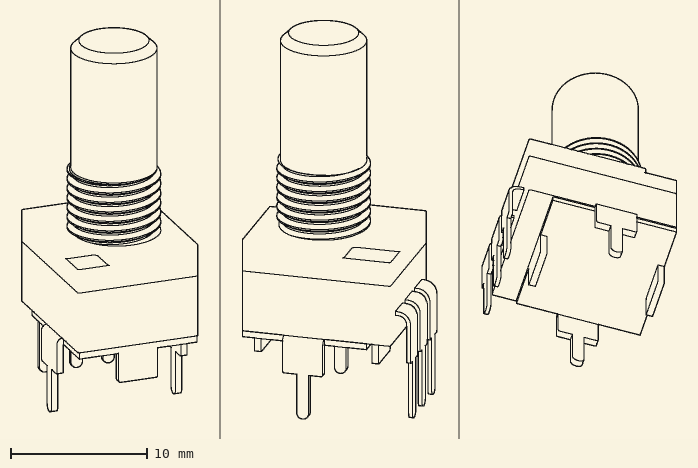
import cadquery as cq
import math


frame_bottom = 5.79
frame_thickness = 0.5
split_height = 11.0
cover_top = 13.5
bushing_top = 18.5
shaft_top = 28.5
body_bottom = frame_bottom + frame_thickness

housing_left = -6.5
housing_right = 4.85
housing_depth = 9.5
edge_fillet = 0.1

step_depth = 0.65
step_y = 2.37
left_step_x = -2.94
right_step_x = 2.48
step_fillet = 0.37

shaft_diameter = 6.35
shaft_chamfer = 0.6

thread_crest_diameter = 6.9
thread_root_diameter = 6.05
thread_pitch = 0.75
crest_width = 0.1
flank_half_angle = 30.0
helix_start = 13.325
thread_overlap = 0.09

pin_width = 0.9
shoulder_round = 0.15

terminal_count = 3
terminal_spacing = 2.5
terminal_width = 1.85
terminal_thickness = 0.3
terminal_top = 8.55
terminal_shoulder = 4.55
terminal_bend_radius = 0.97
terminal_reach = 7.67

frame_length = 9.5
tab_width = 3.08
tab_shoulder = 3.48
tab_reach = 5.145
tab_bend_radius = 0.4
frame_half_depth = tab_reach - frame_thickness
frame_center_x = housing_right - frame_length / 2


def housing_block(bottom, top):
    """Rectangular block with the housing footprint."""
    return (
        cq.Workplane("XY", origin=((housing_left + housing_right) / 2, 0, bottom))
        .rect(housing_right - housing_left, housing_depth)
        .extrude(top - bottom)
    )


def corner_step(inner, outer):
    """Box removed from a corner of the cover, between the inner and outer (x, y) corners."""
    center_x = (inner[0] + outer[0]) / 2
    center_y = (inner[1] + outer[1]) / 2
    return (
        cq.Workplane("XY", origin=(center_x, center_y, cover_top - step_depth))
        .rect(abs(outer[0] - inner[0]), abs(outer[1] - inner[1]))
        .extrude(step_depth)
    )


def make_body():
    return housing_block(body_bottom, split_height).edges("|Z").fillet(edge_fillet)


def make_cover():
    """Upper block with two diagonally opposite stepped corners and rounded edges."""
    half_depth = housing_depth / 2
    inner_corners = [(left_step_x, step_y), (right_step_x, -step_y)]
    outer_corners = [(housing_left, half_depth), (housing_right, -half_depth)]

    def is_inner_edge(edge):
        center = edge.Center()
        inside_x = housing_left + step_fillet < center.x < housing_right - step_fillet
        inside_y = abs(center.y) < half_depth - step_fillet
        return inside_x and inside_y

    cover = housing_block(split_height, cover_top)
    for inner, outer in zip(inner_corners, outer_corners):
        cover = cover.cut(corner_step(inner, outer))
    cover = cover.edges("|Z").filter(lambda edge: not is_inner_edge(edge)).fillet(edge_fillet)
    cover = cover.edges("|Z").filter(is_inner_edge).fillet(step_fillet)
    return cover.faces(">Z").edges().fillet(edge_fillet)


def make_shaft():
    return (
        cq.Workplane("XY", origin=(0, 0, bushing_top))
        .circle(shaft_diameter / 2)
        .extrude(shaft_top - bushing_top)
        .faces(">Z")
        .chamfer(shaft_chamfer)
    )


def make_bushing():
    """Cylinder with a right-handed thread whose ends are cut flat."""
    length = bushing_top - cover_top
    crest_radius = thread_crest_diameter / 2
    base_radius = thread_root_diameter / 2 - thread_overlap
    flank_rise = (crest_radius - base_radius) * math.tan(math.radians(flank_half_angle))
    ridge_start = helix_start - thread_pitch
    ridge_length = bushing_top + thread_pitch - ridge_start

    helix = cq.Wire.makeHelix(thread_pitch, ridge_length, base_radius, center=cq.Vector(0, 0, ridge_start))
    ridge = (
        cq.Workplane("XZ")
        .moveTo(base_radius, ridge_start - crest_width / 2 - flank_rise)
        .lineTo(crest_radius, ridge_start - crest_width / 2)
        .lineTo(crest_radius, ridge_start + crest_width / 2)
        .lineTo(base_radius, ridge_start + crest_width / 2 + flank_rise)
        .close()
        .sweep(cq.Workplane(helix), isFrenet=True)
    )
    core = cq.Workplane("XY", origin=(0, 0, cover_top)).circle(thread_root_diameter / 2).extrude(length)
    limits = cq.Workplane("XY", origin=(0, 0, cover_top)).circle(thread_crest_diameter).extrude(length)
    return core.union(ridge.intersect(limits))


def pin_outline(width, top, shoulder, reach):
    """Prism along X whose outline narrows at the shoulder to a round-ended pin reaching Z = 0."""
    upper = (
        cq.Workplane("YZ")
        .center(0, (top + shoulder) / 2)
        .rect(width, top - shoulder)
        .extrude(-reach)
        .edges("|X and <Z")
        .fillet(shoulder_round)
    )
    radius = pin_width / 2
    pin = (
        cq.Workplane("YZ")
        .moveTo(-radius, shoulder + shoulder_round)
        .lineTo(-radius, radius)
        .threePointArc((0, 0), (radius, radius))
        .lineTo(radius, shoulder + shoulder_round)
        .close()
        .extrude(-reach)
    )
    return upper.union(pin)


def bent_pin(root, reach, width, thickness, bend_radius, top, shoulder):
    """Strip that runs from the root toward -X, bends down at the reach and ends in a pin.

    The inside of the bend stays sharp where the bend radius is within the thickness.
    """
    strip = (
        cq.Workplane("XZ")
        .polyline(
            [
                (-root, top),
                (-reach, top),
                (-reach, 0),
                (thickness - reach, 0),
                (thickness - reach, top - thickness),
                (-root, top - thickness),
            ]
        )
        .close()
        .extrude(width / 2, both=True)
    )
    strip = strip.edges("|Y").edges("<X and >Z").fillet(bend_radius)
    inner_radius = bend_radius - thickness
    if inner_radius > 0:
        inner_corner = (thickness - reach, 0, top - thickness)
        strip = strip.edges(cq.selectors.NearestToPointSelector(inner_corner)).fillet(inner_radius)
    return strip.intersect(pin_outline(width, top, shoulder, reach))


def make_terminal(center_y):
    """Terminal that leaves the left wall of the body at the given Y."""
    return bent_pin(
        root=-housing_left,
        reach=terminal_reach,
        width=terminal_width,
        thickness=terminal_thickness,
        bend_radius=terminal_bend_radius,
        top=terminal_top,
        shoulder=terminal_shoulder,
    ).translate((0, center_y, 0))


def make_frame():
    """Plate with a pin tab on each Y side and a short foot on each X side."""
    frame = (
        cq.Workplane("XY", origin=(frame_center_x, 0, frame_bottom))
        .rect(frame_length, 2 * frame_half_depth)
        .extrude(frame_thickness)
    )
    tab = bent_pin(
        root=frame_half_depth - frame_thickness,
        reach=tab_reach,
        width=tab_width,
        thickness=frame_thickness,
        bend_radius=tab_bend_radius,
        top=body_bottom,
        shoulder=tab_shoulder,
    )
    for side in (-1, 1):
        turned_tab = tab.rotate((0, 0, 0), (0, 0, 1), -side * 90)
        frame = frame.union(turned_tab.translate((frame_center_x, 0, 0)))

        foot_x = frame_center_x + side * (frame_length - frame_thickness) / 2
        foot = (
            cq.Workplane("XY", origin=(foot_x, 0, tab_shoulder))
            .rect(frame_thickness, tab_width)
            .extrude(body_bottom - tab_shoulder)
            .edges("|X and <Z")
            .fillet(shoulder_round)
        )
        frame = frame.union(foot)
    return frame


shaft = make_shaft()
bushing = make_bushing()
cover = make_cover()
body = make_body()
frame = make_frame()
terminals = [
    make_terminal((index - (terminal_count - 1) / 2) * terminal_spacing) for index in range(terminal_count)
]

result = cq.Compound.makeCompound(
    [
        *shaft.solids().vals(),
        *bushing.solids().vals(),
        *cover.solids().vals(),
        *body.solids().vals(),
        *frame.solids().vals(),
        *[terminal.solids().val() for terminal in terminals],
    ]
)